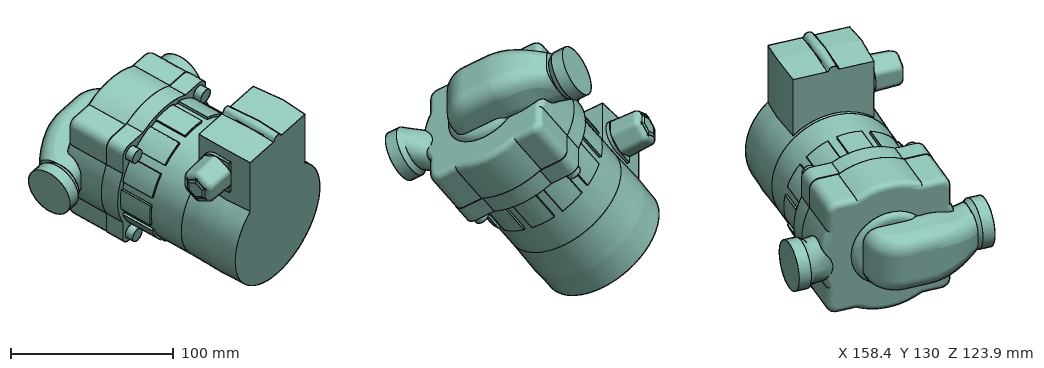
import cadquery as cq
import math


housing_front = -4.7
housing_back = 25.8
flange_back = 38.6
pin_end = 44.3
pad_end = 61.5
motor_back = 85.0
box_front = 87.0
cap_parting = 110.0
cap_back = 127.5

lobe_radius = 46.0
flange_width = 82.0
housing_height = 81.0
corner_radius = 6.3
housing_fillet = 4.0
boss_radius = 26.0
boss_height = 3.8
boss_root_depth = 1.6
boss_fillet = 4.7

port_span = 130.0
port_radius = 16.3
port_length = 8.0
flare_length = 3.5
neck_radius = 14.1
port_inner = port_span / 2 - port_length
neck_end = port_inner - flare_length

inlet_front = -30.9
inlet_top = 19.5
inlet_bend_radius = 20.5
inlet_half_height = 19.5
inlet_fillet = 10.3
inlet_root = 1.6
inlet_neck_left = -16.6
inlet_neck_right = 12.2
inlet_arc_start = -15.8
inlet_taper_start = -20.5

outlet_root_y = 31.7
outlet_root_x = 12.3
outlet_root_z = -7.1
outlet_root_half_width = 13.3
outlet_root_half_height = 15.0

motor_radius = 41.8
pad_radius = 43.4
pad_count = 12
pad_angle = 22.2
pin_radius = 4.7
pin_offset = 33.7

cap_radius = 42.5
cap_draft = 1.5
box_draft = 3.0
box_half_width = 28.0
box_top = 74.9
ridge_top = 77.9
ridge_half_width = 4.1

gland_x = 103.0
gland_z = 53.8
gland_plate_radius = 12.5
gland_plate_back = 112.9
gland_plate_y = -29.6
gland_shoulder_y = -49.7
gland_tip_y = -50.5
gland_tip_base_flats = 14.0
gland_tip_flats = 10.1
gland_flats = 22.5
gland_draft = 2.0
gland_corner_fillet = 4.1
gland_tip_fillet = 4.0


def lobed_plate(x_start, x_end, width, height):
    """Rounded rectangle joined with a concentric disc, both running along X."""
    thickness = x_end - x_start
    plane = cq.Workplane("YZ").workplane(offset=x_start)
    plate = plane.rect(width, height).extrude(thickness).edges("|X").fillet(corner_radius)
    return plate.union(plane.circle(lobe_radius).extrude(thickness))


def port(side):
    """Round port end and its flare; side is -1 for -Y and +1 for +Y."""
    outer = port_span / 2
    profile = [
        (0, neck_end),
        (neck_radius, neck_end),
        (port_radius, port_inner),
        (port_radius, outer),
        (0, outer),
    ]
    outline = cq.Workplane("XY").polyline([(x, side * y) for x, y in profile]).close()
    return outline.revolve(360, (0, 0, 0), (0, 1, 0))


def inlet_pipe():
    """Plan outline narrowed in height towards the port, with all long edges rounded."""
    bend_x = inlet_front + inlet_bend_radius
    bend_y = inlet_top - inlet_bend_radius
    plan = (
        cq.Workplane("XY")
        .workplane(offset=-inlet_half_height)
        .moveTo(inlet_root, inlet_top)
        .lineTo(bend_x, inlet_top)
        .tangentArcPoint((inlet_front, bend_y), relative=False)
        .lineTo(inlet_front, inlet_arc_start)
        .tangentArcPoint((inlet_neck_left, -neck_end), relative=False)
        .lineTo(inlet_neck_right, -neck_end)
        .lineTo(inlet_root, inlet_taper_start)
        .close()
        .extrude(2 * inlet_half_height)
    )
    side = (
        cq.Workplane("YZ")
        .workplane(offset=inlet_front)
        .moveTo(inlet_top, inlet_half_height)
        .lineTo(inlet_taper_start, inlet_half_height)
        .spline([(-neck_end, neck_radius)], tangents=[(-1, 0), (-1, 0)], includeCurrent=True)
        .lineTo(-neck_end, -neck_radius)
        .spline([(inlet_taper_start, -inlet_half_height)], tangents=[(1, 0), (1, 0)], includeCurrent=True)
        .lineTo(inlet_top, -inlet_half_height)
        .close()
        .extrude(inlet_neck_right - inlet_front)
    )
    long_edges = "(|Y and <X) or (%BSPLINE and (not <Y))"
    return plan.intersect(side).edges(long_edges).fillet(inlet_fillet)


def outlet_pipe():
    """Loft from the round neck to a leaning oval root inside the housing."""
    return (
        cq.Workplane("XZ", origin=(0, neck_end, 0))
        .circle(neck_radius)
        .workplane(offset=neck_end - outlet_root_y)
        .center(outlet_root_x, outlet_root_z)
        .ellipse(outlet_root_half_width, outlet_root_half_height)
        .loft()
    )


def make_housing():
    """Pump housing with its front boss, both pipes and both ports."""
    housing = lobed_plate(housing_front, housing_back, flange_width, housing_height)
    housing = housing.faces("<X").edges().fillet(housing_fillet)
    boss_root = cq.Workplane("YZ").workplane(offset=housing_front + boss_root_depth)
    boss = boss_root.circle(boss_radius).extrude(-boss_height - boss_root_depth)
    housing = housing.union(boss.faces("<X").edges().fillet(boss_fillet))
    housing = housing.union(inlet_pipe()).union(outlet_pipe())
    return housing.union(port(-1)).union(port(1))


def cooling_pad(angle):
    """Raised sector on the motor shell behind the flange, with radial sides."""
    half = math.radians(pad_angle / 2)
    edge_y = pad_radius * math.cos(half)
    edge_z = pad_radius * math.sin(half)
    pad = (
        cq.Workplane("YZ")
        .workplane(offset=flange_back)
        .lineTo(edge_y, -edge_z)
        .threePointArc((pad_radius, 0), (edge_y, edge_z))
        .close()
        .extrude(pad_end - flange_back)
    )
    return pad.rotate((0, 0, 0), (1, 0, 0), angle)


def make_motor():
    """Motor flange and shell with the ring of pads and the four corner pins."""
    motor = lobed_plate(housing_back, flange_back, flange_width, flange_width)
    shell = cq.Workplane("YZ").workplane(offset=flange_back).circle(motor_radius)
    motor = motor.union(shell.extrude(motor_back - flange_back))
    for index in range(pad_count):
        motor = motor.union(cooling_pad(index * 360 / pad_count))
    pins = (
        cq.Workplane("YZ")
        .workplane(offset=flange_back)
        .rect(2 * pin_offset, 2 * pin_offset, forConstruction=True)
        .vertices()
        .circle(pin_radius)
        .extrude(pin_end - flange_back)
    )
    return motor.union(pins)


def cap_outline():
    """Round section of the cap at the parting plane."""
    return cq.Workplane("YZ").workplane(offset=cap_parting).circle(cap_radius)


def box_outline():
    """Terminal box section with the rounded ridge along its top."""
    return (
        cq.Workplane("YZ")
        .workplane(offset=cap_parting)
        .moveTo(-box_half_width, 0)
        .lineTo(-box_half_width, box_top)
        .lineTo(-ridge_half_width, box_top)
        .threePointArc((0, ridge_top), (ridge_half_width, box_top))
        .lineTo(box_half_width, box_top)
        .lineTo(box_half_width, 0)
        .close()
    )


def drafted_both_ways(outline, front, draft):
    """Extrude a section from the parting plane to both ends, narrowing each way."""
    front_half = outline().extrude(front - cap_parting, taper=draft)
    return front_half.union(outline().extrude(cap_back - cap_parting, taper=draft))


def gland_hexagon(y, flats):
    """Hexagon sketch of the gland nut at a given Y, with a corner pointing up."""
    plane = cq.Workplane("XZ", origin=(gland_x, y, gland_z)).transformed(rotate=(0, 0, 30))
    return plane.polygon(6, flats / math.cos(math.pi / 6))


def cable_gland():
    """D-shaped plate, tapered hexagonal nut and the shallow raised facet on its tip."""
    plate_height = 2 * gland_plate_radius
    plate_length = -gland_plate_y
    flat_distance = gland_plate_back - gland_x
    base = cq.Workplane("XZ", origin=(gland_x, 0, gland_z))
    square_end = base.center(flat_distance / 2, 0).rect(flat_distance, plate_height).extrude(plate_length)
    front_half = base.moveTo(0, gland_plate_radius)
    front_half = front_half.threePointArc((-gland_plate_radius, 0), (0, -gland_plate_radius)).close()
    plate = square_end.union(front_half.extrude(plate_length))

    nut_length = gland_plate_y - gland_shoulder_y
    nut = gland_hexagon(gland_plate_y, gland_flats).extrude(nut_length, taper=gland_draft)
    nut = nut.edges("not(#Y)").fillet(gland_corner_fillet)
    nut = nut.faces("<Y").edges().fillet(gland_tip_fillet)

    tip_height = gland_shoulder_y - gland_tip_y
    tip_inset = (gland_tip_base_flats - gland_tip_flats) / 2
    tip_taper = math.degrees(math.atan(tip_inset / tip_height))
    tip = gland_hexagon(gland_shoulder_y, gland_tip_base_flats).extrude(tip_height, taper=tip_taper)
    return plate.union(nut).union(tip)


def make_end_cap():
    """Motor end cap with the terminal box and its cable gland."""
    cap = drafted_both_ways(cap_outline, motor_back, cap_draft)
    cap = cap.union(drafted_both_ways(box_outline, box_front, box_draft))
    return cap.union(cable_gland())


housing = make_housing()
motor = make_motor()
end_cap = make_end_cap()

result = cq.Compound.makeCompound([housing.val(), motor.val(), end_cap.val()])